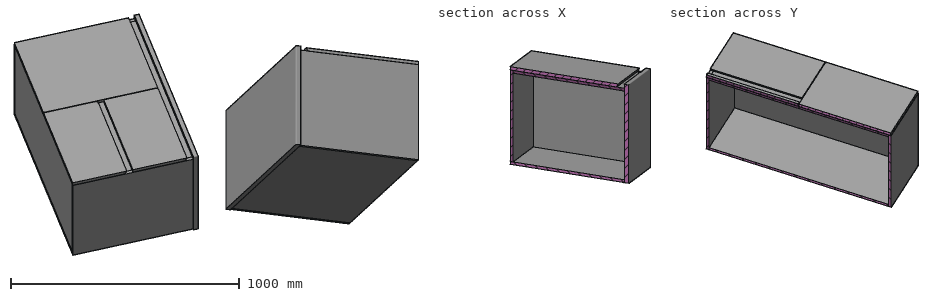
import cadquery as cq

WIDTH = 900.0
DEPTH = 460.0
HEIGHT = 572.0
WORKTOP_THICKNESS = 22.5
WORKTOP_OVERHANG = 5.0
WORKTOP_LIP = 3.0
WORKTOP_ROUNDING = 4.0
BOARD = 15.0
FRONT_GAP = 3.0
FRONT_INSET = 2.0
GRIP_GAP = 28.0
GRIP_UNDERCUT = 7.0

CARCASS_WIDTH = WIDTH - 2 * WORKTOP_OVERHANG
CARCASS_HEIGHT = HEIGHT - WORKTOP_THICKNESS
CARCASS_DEPTH = DEPTH - WORKTOP_LIP - BOARD
INNER_WIDTH = CARCASS_WIDTH - 2 * BOARD
FRONT_WIDTH = (CARCASS_WIDTH - FRONT_GAP) / 2 - FRONT_INSET
FRONT_CENTER_X = (FRONT_WIDTH + FRONT_GAP) / 2
DOOR_HEIGHT = CARCASS_HEIGHT - GRIP_GAP
DRAWER_HEIGHT = (DOOR_HEIGHT - GRIP_GAP) / 2


def panel(size_x, size_y, size_z, center_x, low_y, low_z):
    """Flat board centred on center_x, rising from low_y and low_z."""
    board = cq.Workplane("XY").box(size_x, size_y, size_z, centered=(True, False, False))
    return board.translate((center_x, low_y, low_z))


def make_worktop():
    """Slab rounded around its +Z face and along its outer +Y corners."""
    slab = panel(WIDTH, WORKTOP_THICKNESS, DEPTH, 0, CARCASS_HEIGHT, 0)
    exposed_edges = "((>Z) and (not <Y)) or (|Z and >Y)"
    return slab.edges(exposed_edges).fillet(WORKTOP_ROUNDING)


def make_side(direction):
    """Side panel; direction is -1 for the left and 1 for the right."""
    center_x = direction * (CARCASS_WIDTH - BOARD) / 2
    return panel(BOARD, CARCASS_HEIGHT, CARCASS_DEPTH, center_x, 0, 0)


def make_back():
    return panel(INNER_WIDTH, CARCASS_HEIGHT, BOARD, 0, 0, 0)


def make_floor():
    """Cabinet floor, standing on the back panel at the -Y end."""
    return panel(INNER_WIDTH, BOARD, CARCASS_DEPTH - BOARD, 0, 0, BOARD)


def make_inner_front():
    """Sheet behind the door and drawers that closes the finger gaps."""
    return panel(INNER_WIDTH, CARCASS_HEIGHT - BOARD, BOARD, 0, BOARD, CARCASS_DEPTH - BOARD)


def make_front(height, center_x, low_y):
    """Door or drawer front with an undercut grip edge on its +Y end."""
    profile = [(0, 0), (height - GRIP_UNDERCUT, 0), (height, BOARD), (0, BOARD)]
    front = cq.Workplane("YZ").polyline(profile).close().extrude(FRONT_WIDTH / 2, both=True)
    return front.translate((center_x, low_y, CARCASS_DEPTH))


worktop = make_worktop()
sides = [make_side(direction) for direction in (-1, 1)]
back = make_back()
floor = make_floor()
inner_front = make_inner_front()
door = make_front(DOOR_HEIGHT, -FRONT_CENTER_X, 0)
drawers = [
    make_front(DRAWER_HEIGHT, FRONT_CENTER_X, row * (DRAWER_HEIGHT + GRIP_GAP))
    for row in range(2)
]

result = cq.Compound.makeCompound([
    worktop.val(),
    *[side.val() for side in sides],
    back.val(),
    floor.val(),
    inner_front.val(),
    door.val(),
    *[drawer.val() for drawer in drawers],
])